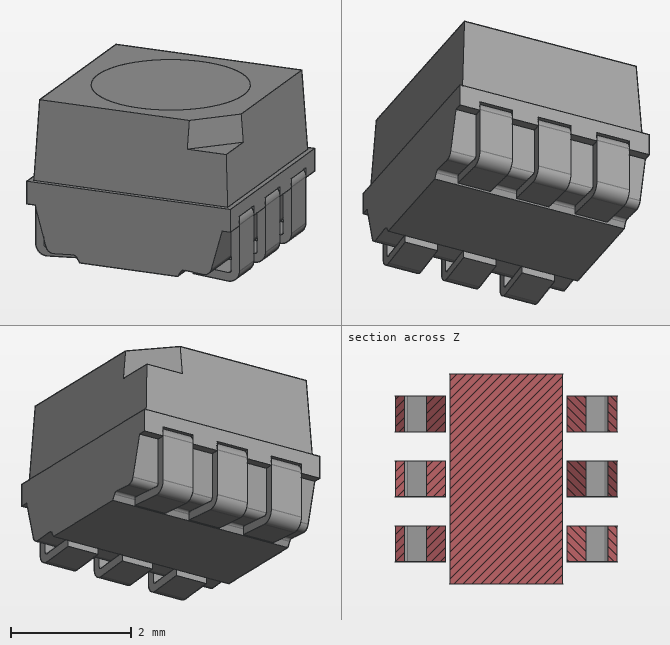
import cadquery as cq
import math

length = 3.7
width = 3.5
height = 2.8

flange_bottom = 1.0
flange_top = 1.4
base_bottom = 0.092
side_foot_x = 1.47
shoulder_low = 0.185
shoulder_high = 0.222
shoulder_inner_x = 0.97
pad_half_length = 0.888
side_round = 0.137
shoulder_round = 0.075

cover_ledge = 0.09
cover_inset = 0.075
cover_height = height - flange_top

notch_depth = 0.5
notch_reach = 2.62

lens_diameter = 2.65

lead_thickness = 0.15
lead_width = 0.6
lead_pitch = 1.08
leads_per_side = 3
lead_top = 1.165
lead_round_start = 1.015
lead_radius = 0.2
foot_angle = math.radians(4.4)
foot_end_x = 1.005

lead_inner_x = length / 2 - lead_thickness
lead_positions = [(i - (leads_per_side - 1) / 2) * lead_pitch for i in range(leads_per_side)]


def mirrored_side(body):
    """Copy a +X body onto the -X side."""
    return body.mirror("YZ")


def extrude_across(profile, extent, y_center):
    """Extrude a closed XZ profile symmetrically about y_center."""
    return profile.extrude(extent / 2, both=True).translate((0, y_center, 0))


def make_lead(y_center):
    """Build a lead on the +X side: rounded top edge, vertical leg, bend and rising foot."""
    outer_x = length / 2
    round_drop = lead_top - lead_round_start
    top_angle = math.asin(round_drop / lead_radius)
    center_x = outer_x - lead_radius

    def on_round(angle):
        return (
            center_x + lead_radius * math.cos(angle),
            lead_round_start + lead_radius * math.sin(angle),
        )

    inner_radius = lead_radius - lead_thickness
    bend_sweep = math.pi / 2 + foot_angle

    def on_bend(radius, angle):
        return (center_x + radius * math.cos(angle), lead_radius - radius * math.sin(angle))

    def foot_end(radius):
        tangent_x, tangent_z = on_bend(radius, bend_sweep)
        return (foot_end_x, tangent_z + (tangent_x - foot_end_x) * math.tan(foot_angle))

    profile = (
        cq.Workplane("XZ")
        .moveTo(lead_inner_x, lead_top)
        .lineTo(*on_round(top_angle))
        .threePointArc(on_round(top_angle / 2), (outer_x, lead_round_start))
        .lineTo(outer_x, lead_radius)
        .threePointArc(on_bend(lead_radius, bend_sweep / 2), on_bend(lead_radius, bend_sweep))
        .lineTo(*foot_end(lead_radius))
        .lineTo(*foot_end(inner_radius))
        .lineTo(*on_bend(inner_radius, bend_sweep))
        .threePointArc(on_bend(inner_radius, bend_sweep / 2), on_bend(inner_radius, 0))
        .close()
    )
    return extrude_across(profile, lead_width, y_center)


def make_base():
    """Build the flanged base with sloped sides, a central pad and a pocket for each lead."""
    right_side = [
        (length / 2, flange_top),
        (length / 2, flange_bottom),
        (lead_inner_x, flange_bottom),
        (side_foot_x, shoulder_low),
        (shoulder_inner_x, shoulder_high),
        (pad_half_length, base_bottom),
    ]
    left_side = [(-x, z) for x, z in reversed(right_side)]
    base = extrude_across(cq.Workplane("XZ").polyline(right_side + left_side).close(), width, 0)

    def round_edges(body, x, z, radius):
        for side in (-1, 1):
            edge = cq.selectors.NearestToPointSelector((side * x, 0, z))
            body = body.edges(edge).fillet(radius)
        return body

    base = round_edges(base, side_foot_x, shoulder_low, side_round)
    base = round_edges(base, shoulder_inner_x, shoulder_high, shoulder_round)

    pocket_height = lead_top - flange_bottom
    for side in (-1, 1):
        for y in lead_positions:
            pocket_center = (side * (length - lead_thickness) / 2, y, flange_bottom + pocket_height / 2)
            pocket = cq.Workplane("XY").box(lead_thickness, lead_width, pocket_height).translate(pocket_center)
            base = base.cut(pocket)
    return base


def make_cover():
    """Build the tapered cover with a cut corner and a bore for the lens."""
    bottom_length = length - 2 * cover_ledge
    bottom_width = width - 2 * cover_ledge
    cover = (
        cq.Workplane("XY", origin=(0, 0, flange_top))
        .rect(bottom_length, bottom_width)
        .workplane(offset=cover_height)
        .rect(bottom_length - 2 * cover_inset, bottom_width - 2 * cover_inset)
        .loft(ruled=True)
    )
    notch = (
        cq.Workplane("XY", origin=(0, 0, height - notch_depth))
        .moveTo(notch_reach - width / 2, -width / 2)
        .lineTo(length / 2, -width / 2)
        .lineTo(length / 2, length / 2 - notch_reach)
        .close()
        .extrude(notch_depth)
    )
    return cover.cut(notch).cut(make_lens())


def make_lens():
    """Build the round lens that fills the cover bore and ends flush with its top."""
    return cq.Workplane("XY", origin=(0, 0, flange_top)).circle(lens_diameter / 2).extrude(cover_height)


base = make_base()
cover = make_cover()
lens = make_lens()

leads = []
for y in lead_positions:
    lead = make_lead(y)
    leads.append(lead.val())
    leads.append(mirrored_side(lead).val())

result = cq.Compound.makeCompound([base.val(), cover.val(), lens.val(), *leads])